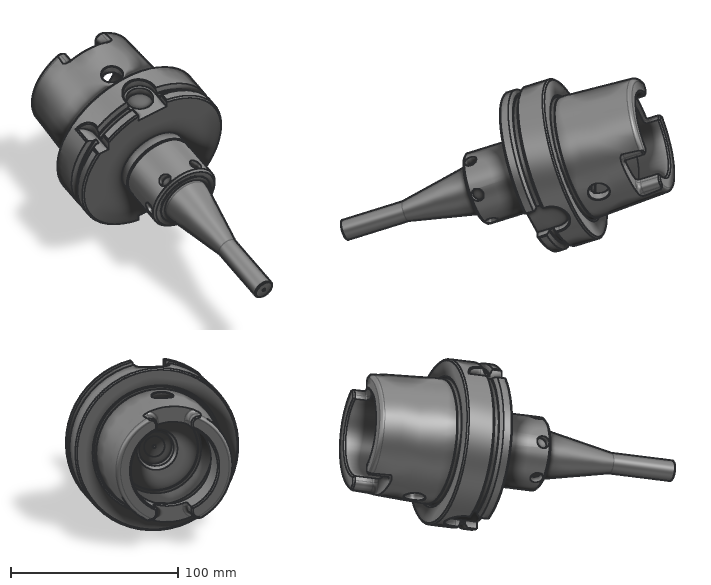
import cadquery as cq
import math

FACE_X = 50.0
TAPER_END_R = 35.5
TAPER_FACE_R = 38.0
TAPER_END_FILLET = 2.5
BORE_R = 53.0 / 2
BORE_RIM_CHAMFER = 1.0
BORE_STRAIGHT_X = 20.0
CHAMBER_R = 31.5
CHAMBER_TAPER_X = 40.0
CHAMBER_END_X = 48.0
BORE_FLOOR_R = 24.8
BORE_FLOOR_X = 50.0
CROSS_HOLE_D = 12.5
CROSS_HOLE_X = 35.0
CROSS_HOLE_CHAMFER = 0.5

NECK_X = 47.8
NECK_FLAT = 0.5
NECK_R = 37.5
FACE_RELIEF_R = 39.5
FACE_RELIEF_INNER_R = 38.5
FACE_RELIEF_DEPTH = 0.8

SLOT_HALF_W = 10.5
SLOT_FLARE_R = 4.5
SLOT_FLARE_TOP_Z = 31.5
SLOT_FLOOR_FILLET = 2.5
SLOT_RIM_CHAMFER = 1.0
TOP_SLOT_DEPTH = 10.0
BOTTOM_SLOT_DEPTH = 14.8

FLANGE_R = 50.0
FLANGE_END_X = 79.0
FLANGE_CHAMFER = 1.0
GROOVE_X = 69.8
GROOVE_HALF_W = 1.5
GROOVE_MOUTH_HALF_W = 3.3
GROOVE_R = 46.0
GROOVE_WALL_R = GROOVE_R + 1.2

KEYWAY_W = 20.0
KEYWAY_FLOOR_Z = 44.0
KEYWAY_CENTRE_X = 65.0
RIM_CHAMFER = 0.5
RECESS_D = 16.5
RECESS_DEPTH = 5.0
NOTCH_Y = -31.5
NOTCH_FLOOR_Z = 31.5

HUB_D = 44.5
HUB_END_X = 85.2
JOINT_CHAMFER = 0.5
NUT_END_X = 114.5
NUT_CHAMFER = 1.5
NUT_HOLE_D = 7.5
NUT_HOLE_X = 109.0
NUT_HOLE_DEPTH = 5.0
NUT_HOLE_COUNT = 6
RING_D = 35.0
RING_START_X = 113.5
RING_END_X = 115.0
NOSE_D = 30.0
REAR_POCKET_D = 21.2
REAR_POCKET_MOUTH_D = 25.0
REAR_POCKET_CHAMFER = 2.0
REAR_POCKET_FLOOR_X = 58.0

ROD_D = 12.5
CONE_START_X = 116.5
CONE_END_X = 160.2
TIP_X = 200.0
TIP_CHAMFER = 0.5
COOLANT_D = 2.0


def cylinder(diameter, start_x, end_x):
    """Cylinder along X between two positions."""
    return cq.Workplane("YZ", origin=(start_x, 0, 0)).circle(diameter / 2).extrude(end_x - start_x)


def turned(points):
    """Solid of revolution about X from (x, radius) points that close along the axis."""
    outline = [(points[0][0], 0), *points, (points[-1][0], 0)]
    return cq.Workplane("XY").polyline(outline).close().revolve(360, (0, 0, 0), (1, 0, 0))


def holder_blank():
    """Outside of the holder: taper shank, flange, hub and the nose inside the nut."""
    taper_slope = (TAPER_FACE_R - TAPER_END_R) / FACE_X
    neck_corner_r = TAPER_END_R + taper_slope * NECK_X
    relief_x = FACE_X + FACE_RELIEF_DEPTH
    neck_slope_x = NECK_X + neck_corner_r - NECK_R
    shank = turned([
        (0, TAPER_END_R),
        (NECK_X, neck_corner_r),
        (neck_slope_x, NECK_R),
        (neck_slope_x + NECK_FLAT, NECK_R),
        (relief_x, FACE_RELIEF_INNER_R),
    ])
    shank = shank.faces("<X").edges().fillet(TAPER_END_FILLET)
    flange = turned([
        (FACE_X, FLANGE_R - FLANGE_CHAMFER),
        (FACE_X + FLANGE_CHAMFER, FLANGE_R),
        (GROOVE_X - GROOVE_MOUTH_HALF_W, FLANGE_R),
        (GROOVE_X - GROOVE_HALF_W, GROOVE_WALL_R),
        (GROOVE_X - GROOVE_HALF_W, GROOVE_R),
        (GROOVE_X + GROOVE_HALF_W, GROOVE_R),
        (GROOVE_X + GROOVE_HALF_W, GROOVE_WALL_R),
        (GROOVE_X + GROOVE_MOUTH_HALF_W, FLANGE_R),
        (FLANGE_END_X - FLANGE_CHAMFER, FLANGE_R),
        (FLANGE_END_X, FLANGE_R - FLANGE_CHAMFER),
    ])
    flange = flange.cut(turned([(FACE_X, FACE_RELIEF_R), (relief_x, FACE_RELIEF_INNER_R)]))
    hub = cylinder(HUB_D, FLANGE_END_X, HUB_END_X).faces(">X").chamfer(JOINT_CHAMFER)
    nose = cylinder(NOSE_D, HUB_END_X, RING_START_X)
    return flange.union(shank).union(hub).union(nose)


def round_ended_slot(half_width, centre_y, floor_z, top_z):
    """Cutter with a round end toward -X that runs out through the far flange face."""
    length = FLANGE_END_X - KEYWAY_CENTRE_X
    return (
        cq.Workplane("XY", origin=(KEYWAY_CENTRE_X, centre_y, floor_z))
        .moveTo(length, -half_width)
        .lineTo(0, -half_width)
        .threePointArc((-half_width, 0), (0, half_width))
        .lineTo(length, half_width)
        .close()
        .extrude(top_z - floor_z)
    )


def cut_keyways(body):
    """Cuts opposite keyways at +Z and -Z, the upper one with a round recess in its floor."""
    keyway = round_ended_slot(KEYWAY_W / 2, 0, KEYWAY_FLOOR_Z, FLANGE_R + 2)
    recess = (
        cq.Workplane("XY", origin=(KEYWAY_CENTRE_X, 0, KEYWAY_FLOOR_Z))
        .circle(RECESS_D / 2)
        .extrude(-RECESS_DEPTH)
    )
    return body.cut(keyway).cut(keyway.mirror("XY")).cut(recess)


def cut_corner_notch(body):
    notch = round_ended_slot(KEYWAY_W / 2, NOTCH_Y - KEYWAY_W / 2, NOTCH_FLOOR_Z, FLANGE_R)
    return body.cut(notch)


def chamfer_flange_cutouts(body):
    """Breaks the edges where keyways and notch meet the outside of the flange."""

    def is_cutout_rim(edge):
        middle = edge.positionAt(0.5)
        on_outside = math.isclose(math.hypot(middle.y, middle.z), FLANGE_R, abs_tol=0.02)
        on_cutout = abs(middle.z) > NOTCH_FLOOR_Z - 2
        return on_outside and on_cutout and edge.geomType() != "CIRCLE"

    return body.edges().filter(is_cutout_rim).chamfer(RIM_CHAMFER)


def drive_slot_profile():
    """Outline of a slot through the +Z wall of the shank, its sides flaring out over rounded tips."""
    flare_start_z = SLOT_FLARE_TOP_Z - SLOT_FLARE_R
    flare_y = SLOT_HALF_W + SLOT_FLARE_R
    arc_reach = SLOT_FLARE_R * math.sin(math.radians(45))
    mid_y = flare_y - arc_reach
    mid_z = flare_start_z + arc_reach
    wide_y = CHAMBER_R
    top_z = TAPER_FACE_R
    return (
        cq.Workplane("YZ")
        .moveTo(-SLOT_HALF_W, 0)
        .lineTo(SLOT_HALF_W, 0)
        .lineTo(SLOT_HALF_W, flare_start_z)
        .threePointArc((mid_y, mid_z), (flare_y, SLOT_FLARE_TOP_Z))
        .lineTo(wide_y, SLOT_FLARE_TOP_Z)
        .lineTo(wide_y, top_z)
        .lineTo(-wide_y, top_z)
        .lineTo(-wide_y, SLOT_FLARE_TOP_Z)
        .lineTo(-flare_y, SLOT_FLARE_TOP_Z)
        .threePointArc((-mid_y, mid_z), (-SLOT_HALF_W, flare_start_z))
        .close()
    )


def drive_slot(depth):
    """Slot cutter with a filleted floor and a bevelled mouth."""
    cutter = drive_slot_profile().extrude(depth).faces(">X").edges().fillet(SLOT_FLOOR_FILLET)
    mouth = drive_slot_profile().offset2D(SLOT_RIM_CHAMFER, "intersection").extrude(SLOT_RIM_CHAMFER, taper=45)
    return cutter.union(mouth)


def cut_shank_interior(body):
    bore = turned([
        (0, BORE_R + BORE_RIM_CHAMFER),
        (BORE_RIM_CHAMFER, BORE_R),
        (BORE_STRAIGHT_X, BORE_R),
        (BORE_STRAIGHT_X, CHAMBER_R),
        (CHAMBER_TAPER_X, CHAMBER_R),
        (CHAMBER_END_X, BORE_R),
        (CHAMBER_END_X, BORE_FLOOR_R),
        (BORE_FLOOR_X, BORE_FLOOR_R),
    ])
    pocket = turned([
        (BORE_FLOOR_X, REAR_POCKET_MOUTH_D / 2),
        (BORE_FLOOR_X + REAR_POCKET_CHAMFER, REAR_POCKET_D / 2),
        (REAR_POCKET_FLOOR_X, REAR_POCKET_D / 2),
    ])
    cross_hole = (
        cq.Workplane("XY", origin=(CROSS_HOLE_X, 0, 0))
        .circle(CROSS_HOLE_D / 2)
        .extrude(TAPER_FACE_R, both=True)
    )
    body = body.cut(bore).cut(pocket).cut(cross_hole)

    def is_cross_hole_rim(edge):
        centre = edge.Center()
        return abs(centre.x - CROSS_HOLE_X) < CROSS_HOLE_D / 4 and abs(centre.z) > CHAMBER_R + 2

    return body.edges().filter(is_cross_hole_rim).chamfer(CROSS_HOLE_CHAMFER)


def cut_drive_slots(body):
    """Cuts a shallow slot at +Z and a deeper one at -Z."""
    return body.cut(drive_slot(TOP_SLOT_DEPTH)).cut(drive_slot(BOTTOM_SLOT_DEPTH).mirror("XY"))


def make_holder():
    body = cut_shank_interior(holder_blank())
    body = cut_drive_slots(body)
    body = chamfer_flange_cutouts(cut_corner_notch(cut_keyways(body)))
    return body.cut(cylinder(ROD_D, REAR_POCKET_FLOOR_X, RING_START_X))


def make_nut():
    nut = cylinder(HUB_D, HUB_END_X, NUT_END_X)
    nut = nut.faces("<X").chamfer(JOINT_CHAMFER).faces(">X").chamfer(NUT_CHAMFER)
    nut = nut.cut(cylinder(NOSE_D, HUB_END_X, NUT_END_X)).cut(cylinder(RING_D, RING_START_X, NUT_END_X))
    floor_r = HUB_D / 2 - NUT_HOLE_DEPTH
    hole_start = cq.Workplane("XZ", origin=(NUT_HOLE_X, -floor_r, 0))
    hole = hole_start.circle(NUT_HOLE_D / 2).extrude(2 * NUT_HOLE_DEPTH)
    holes = hole
    for index in range(1, NUT_HOLE_COUNT):
        holes = holes.union(hole.rotate((0, 0, 0), (1, 0, 0), index * 360 / NUT_HOLE_COUNT))
    return nut.cut(holes)


def make_ring():
    """Locking ring seated in the nut, around the root of the tool cone."""
    return cylinder(RING_D, RING_START_X, RING_END_X).cut(cylinder(NOSE_D, RING_START_X, RING_END_X))


def make_tool():
    """Straight rod with a conical shoulder and a coolant bore from end to end."""
    tool = turned([
        (REAR_POCKET_FLOOR_X, ROD_D / 2),
        (RING_START_X, ROD_D / 2),
        (RING_START_X, NOSE_D / 2),
        (CONE_START_X, NOSE_D / 2),
        (CONE_END_X, ROD_D / 2),
        (TIP_X - TIP_CHAMFER, ROD_D / 2),
        (TIP_X, ROD_D / 2 - TIP_CHAMFER),
    ])
    return tool.cut(cylinder(COOLANT_D, REAR_POCKET_FLOOR_X, TIP_X))


holder = make_holder()
nut = make_nut()
ring = make_ring()
tool = make_tool()

result = cq.Compound.makeCompound([holder.val(), nut.val(), ring.val(), tool.val()])